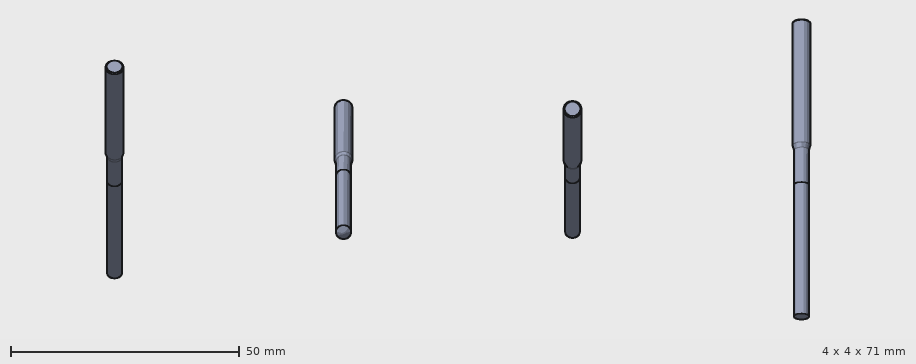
import cadquery as cq
import math

total_length = 71.0
shank_diameter = 4.0
cutter_diameter = 3.35
cutter_length = 32.15
neck_length = 8.4
taper_length = 1.15
top_chamfer = 0.3
point_angle = 130.0

shank_radius = shank_diameter / 2
cutter_radius = cutter_diameter / 2
point_height = cutter_radius / math.tan(math.radians(point_angle / 2))
taper_bottom = cutter_length + neck_length
taper_top = taper_bottom + taper_length


def revolve_profile(points):
    """Revolve a closed (radius, height) outline about the Z axis."""
    return cq.Workplane("XZ").polyline(points).close().revolve(360, (0, 0, 0), (0, 1, 0))


def make_cutter():
    """Cylindrical cutting length with a conical point."""
    return revolve_profile([
        (0, 0),
        (cutter_radius, point_height),
        (cutter_radius, cutter_length),
        (0, cutter_length),
    ])


def make_shank():
    """Neck, taper and full-diameter shank with a chamfered top edge."""
    return revolve_profile([
        (0, cutter_length),
        (cutter_radius, cutter_length),
        (cutter_radius, taper_bottom),
        (shank_radius, taper_top),
        (shank_radius, total_length - top_chamfer),
        (shank_radius - top_chamfer, total_length),
        (0, total_length),
    ])


cutter = make_cutter()
shank = make_shank()
result = cq.Compound.makeCompound([cutter.val(), shank.val()])